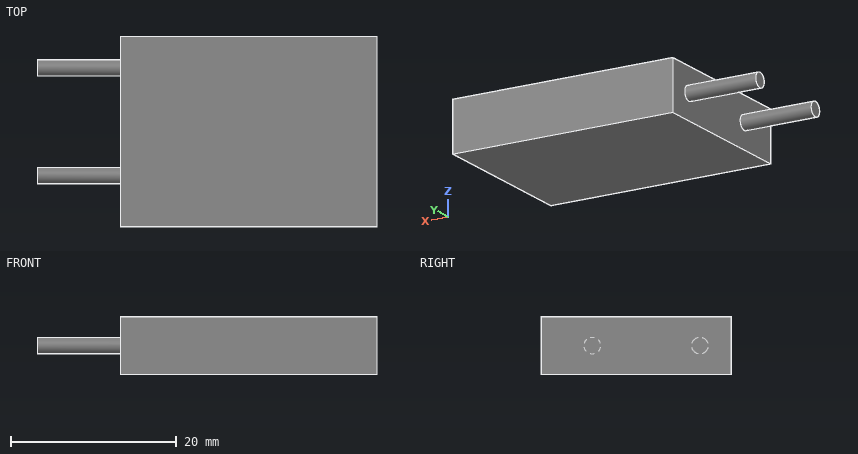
import cadquery as cq

total_length = 41.0
body_width = 23.0
body_height = 7.0

pin_length = 10.0
pin_diameter = 2.0
pin_spacing = 13.0
first_pin_inset = 3.8

body_length = total_length - pin_length
first_pin_y = body_width / 2 - first_pin_inset
pin_positions = [(first_pin_y, 0), (first_pin_y - pin_spacing, 0)]

body = cq.Workplane("XY").box(body_length, body_width, body_height, centered=(False, True, True))

pins = cq.Workplane("YZ").pushPoints(pin_positions).circle(pin_diameter / 2).extrude(-pin_length)

result = body.union(pins)